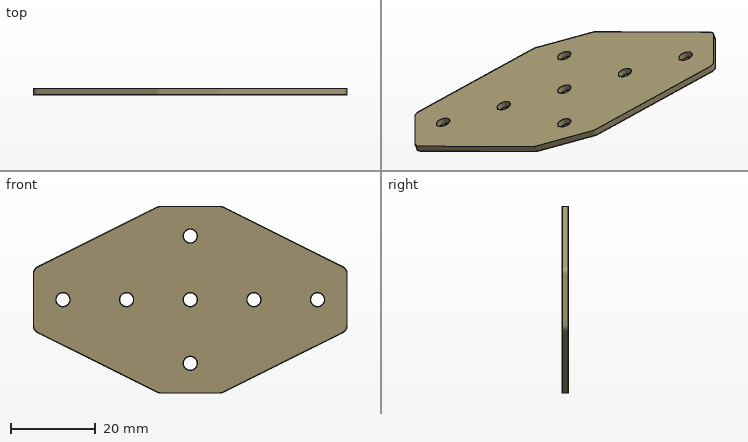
import cadquery as cq

plate_length = 74.0
plate_height = 44.0
plate_thickness = 1.5
end_edge_height = 14.5
long_edge_length = 14.8
corner_radius = 2.0

hole_diameter = 3.25
hole_pitch = 15.0
row_reach = 2
column_reach = 1


def make_plate():
    """Eight-sided plate in the XZ plane, centred on the origin, with rounded corners."""
    half_length = plate_length / 2
    half_height = plate_height / 2
    half_end = end_edge_height / 2
    half_long = long_edge_length / 2
    outline = [
        (half_length, half_end),
        (half_long, half_height),
        (-half_long, half_height),
        (-half_length, half_end),
        (-half_length, -half_end),
        (-half_long, -half_height),
        (half_long, -half_height),
        (half_length, -half_end),
    ]
    plate = cq.Workplane("XZ").polyline(outline).close().extrude(plate_thickness / 2, both=True)
    return plate.edges("|Y").fillet(corner_radius)


def hole_centres():
    """Centres of a cross of holes: one row along X and one column along Z."""
    row = [(i * hole_pitch, 0) for i in range(-row_reach, row_reach + 1)]
    column = [(0, k * hole_pitch) for k in range(-column_reach, column_reach + 1) if k != 0]
    return row + column


def make_hole_cutters():
    """Cylinders that pass through the full plate thickness."""
    pins = cq.Workplane("XZ").pushPoints(hole_centres()).circle(hole_diameter / 2)
    return pins.extrude(plate_thickness, both=True)


result = make_plate().cut(make_hole_cutters())